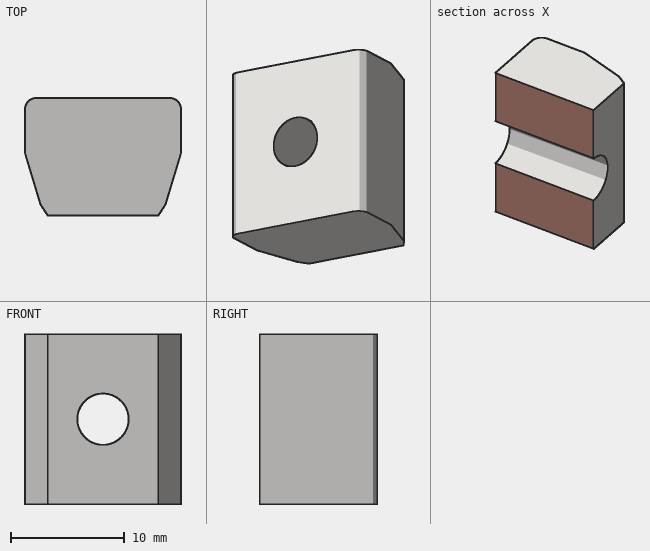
import cadquery as cq

width = 13.76
depth = 10.36
height = 15.0

straight_depth = 4.88
taper_depth = 9.40
taper_inset = 1.37
front_inset = 2.0
edge_radius = 1.0

hole_diameter = 4.5

half_width = width / 2
back_y = depth / 2
front_y = back_y - depth


def make_block():
    """Extrude the tapered outline, symmetric in X, and round its side edges."""
    right_side = [
        (half_width, back_y),
        (half_width, back_y - straight_depth),
        (half_width - taper_inset, back_y - taper_depth),
        (half_width - front_inset, front_y),
    ]
    left_side = [(-x, y) for x, y in reversed(right_side)]
    block = cq.Workplane("XY").polyline(right_side + left_side).close().extrude(height)
    return block.edges("(|Z) and (not(<Y))").fillet(edge_radius)


def make_hole():
    """Cylinder along Y through the middle of the front face."""
    return (
        cq.Workplane("XZ", origin=(0, back_y, height / 2))
        .circle(hole_diameter / 2)
        .extrude(depth)
    )


result = make_block().cut(make_hole())